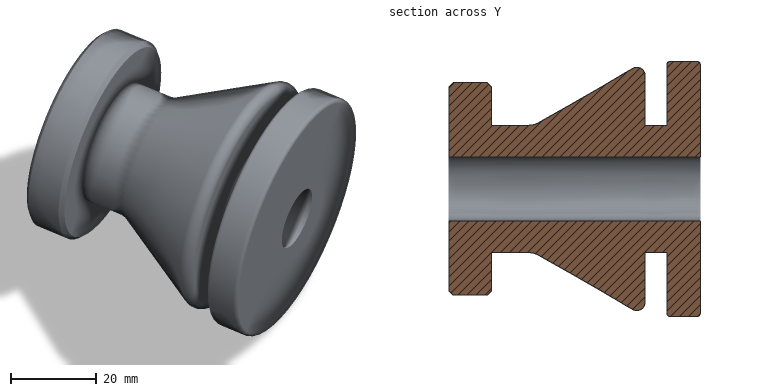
import cadquery as cq
import math

total_length = 59.0
small_flange_width = 10.0
cone_start = 20.0
cone_end = 46.0
large_flange_width = 8.0

bore_diameter = 15.0
hub_diameter = 30.0
small_flange_diameter = 50.0
large_flange_diameter = 60.0

cone_half_angle = 30.0
cone_root_radius = 5.0
cone_rim_radius = 2.0
small_flange_chamfer = 1.0
large_flange_fillet = 0.9


def disc(start, width, diameter):
    """Solid cylinder on the X axis."""
    return cq.Workplane("YZ").workplane(offset=start).circle(diameter / 2).extrude(width)


def hub_with_cone():
    """Hub and cone revolved about X, blended at the root and rounded at the rim."""
    hub_radius = hub_diameter / 2
    angle = math.radians(cone_half_angle)

    root_start = cone_start - cone_root_radius * math.tan(angle / 2)
    root_center = hub_radius + cone_root_radius

    def root_point(turn):
        return (
            root_start + cone_root_radius * math.sin(turn),
            root_center - cone_root_radius * math.cos(turn),
        )

    rim_x = cone_end - cone_rim_radius
    cone_radius_at_rim = hub_radius + (rim_x - cone_start) * math.tan(angle)
    rim_center = cone_radius_at_rim - cone_rim_radius / math.cos(angle)

    def rim_point(turn):
        return (
            rim_x - cone_rim_radius * math.sin(turn),
            rim_center + cone_rim_radius * math.cos(turn),
        )

    rim_middle_turn = (angle - math.pi / 2) / 2
    return (
        cq.Workplane("XY")
        .moveTo(0, 0)
        .lineTo(0, hub_radius)
        .lineTo(root_start, hub_radius)
        .threePointArc(root_point(angle / 2), root_point(angle))
        .lineTo(*rim_point(angle))
        .threePointArc(rim_point(rim_middle_turn), (cone_end, rim_center))
        .lineTo(cone_end, hub_radius)
        .lineTo(total_length, hub_radius)
        .lineTo(total_length, 0)
        .close()
        .revolve(360, (0, 0, 0), (1, 0, 0))
    )


small_flange = disc(0, small_flange_width, small_flange_diameter)
small_flange = small_flange.edges().chamfer(small_flange_chamfer)

large_flange_start = total_length - large_flange_width
large_flange = disc(large_flange_start, large_flange_width, large_flange_diameter)
large_flange = large_flange.edges().fillet(large_flange_fillet)

bore = disc(0, total_length, bore_diameter)

result = hub_with_cone().union(small_flange).union(large_flange).cut(bore)